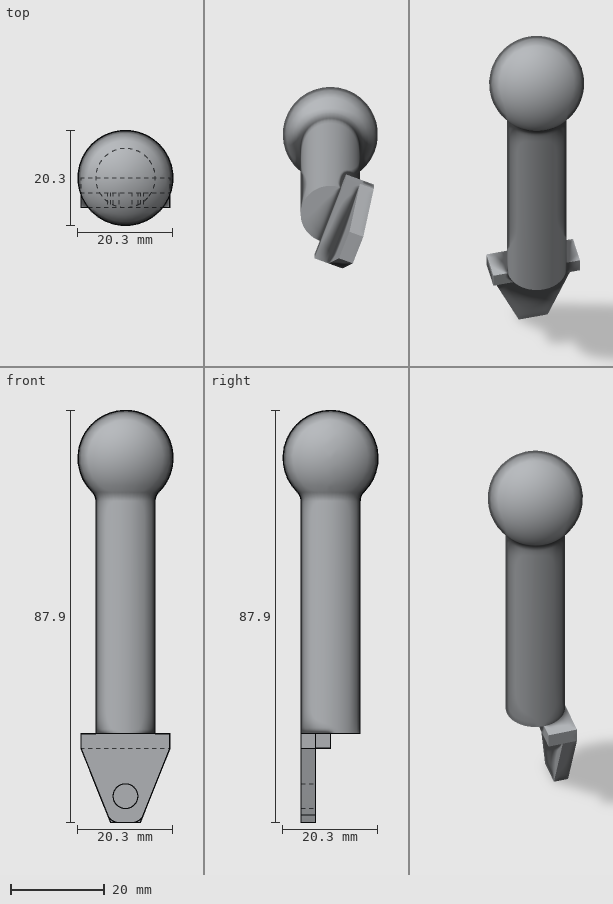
import cadquery as cq
import math

total_height = 87.9
ball_radius = 20.3 / 2
shaft_radius = 12.7 / 2
neck_fillet = 2.6

thickness = shaft_radius / 2
plate_height = 19.0
top_half_width = 9.5
tip_half_width = 3.2
straight_height = thickness
tip_fillet = 2.6
plate_front_y = -shaft_radius
plate_back_y = plate_front_y + thickness

pin_diameter = 5.3
pin_height = 5.6


def make_handle():
    """Revolve the shaft, concave neck and ball as one solid."""
    ball_z = total_height - ball_radius
    arc_center_x = shaft_radius + neck_fillet
    arc_center_distance = ball_radius + neck_fillet
    drop = math.sqrt(arc_center_distance**2 - arc_center_x**2)
    arc_z = ball_z - drop
    share = ball_radius / arc_center_distance
    ball_tangent = (arc_center_x * share, ball_z - drop * share)
    half_turn = math.atan2(drop, arc_center_x) / 2
    neck_middle = (
        arc_center_x - neck_fillet * math.cos(half_turn),
        arc_z + neck_fillet * math.sin(half_turn),
    )
    return (
        cq.Workplane("XZ")
        .moveTo(0, plate_height)
        .lineTo(shaft_radius, plate_height)
        .lineTo(shaft_radius, arc_z)
        .threePointArc(neck_middle, ball_tangent)
        .threePointArc((ball_radius, ball_z), (0, total_height))
        .close()
        .revolve(360, (0, 0, 0), (0, 1, 0))
    )


def make_sharp_plate():
    """Tapered plate outline with square tip corners, without the pin hole."""
    shoulder_z = plate_height - straight_height
    return (
        cq.Workplane("XZ", origin=(0, plate_back_y, 0))
        .polyline([
            (-tip_half_width, 0),
            (tip_half_width, 0),
            (top_half_width, shoulder_z),
            (top_half_width, plate_height),
            (-top_half_width, plate_height),
            (-top_half_width, shoulder_z),
        ])
        .close()
        .extrude(thickness)
    )


def make_rounded_plate():
    """Plate with rounded tip corners, before the pin hole is cut."""
    return make_sharp_plate().faces("<Z").edges("|Y").fillet(tip_fillet)


def make_pin():
    """Pin as long as the plate is thick, flush with both of its faces."""
    return (
        cq.Workplane("XZ", origin=(0, plate_back_y, pin_height))
        .circle(pin_diameter / 2)
        .extrude(thickness)
    )


def make_corner_fillers():
    """The two slivers that square off the rounded tip of the plate."""
    return make_sharp_plate().cut(make_rounded_plate()).solids()


def make_backing_bar():
    """Square bar along the top of the plate, behind it."""
    return cq.Workplane("XY").box(
        2 * top_half_width, thickness, thickness, centered=(True, False, False)
    ).translate((0, plate_back_y, plate_height - thickness))


handle = make_handle()
pin = make_pin()
plate = make_rounded_plate().cut(pin)
backing_bar = make_backing_bar()
corner_fillers = make_corner_fillers()

result = cq.Compound.makeCompound([
    handle.val(),
    plate.val(),
    backing_bar.val(),
    pin.val(),
    *corner_fillers.vals(),
])